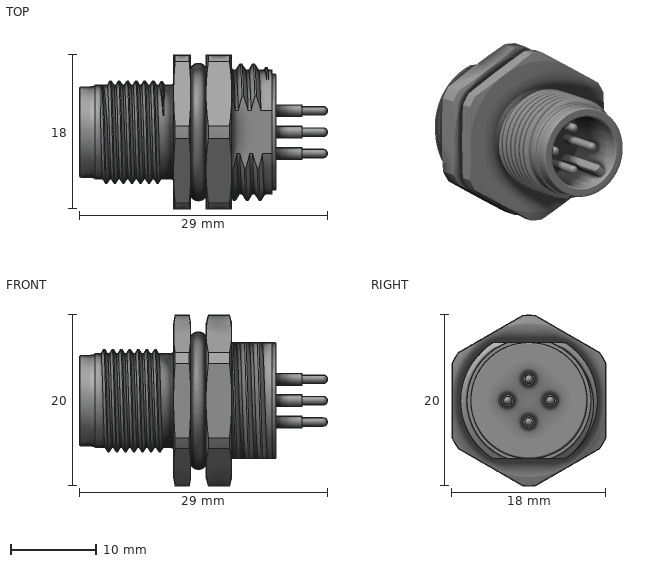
import cadquery as cq
import math


SOCKET_FLOOR_X = 8.5
FLANGE_X = 11.0
FLANGE_LENGTH = 2.0
NUT_X = 14.8
NUT_LENGTH = 3.0
CAP_X = 22.5
CAP_END_X = 23.0
SHOULDER_END_X = 26.0
OVERALL_LENGTH = 29.0
FLANGE_END_X = FLANGE_X + FLANGE_LENGTH

NOSE_RADIUS = 5.3
NOSE_LENGTH = 1.26
NOSE_EDGE_RADIUS = 0.2
NOSE_CONE_END_X = 1.82
NOSE_CONE_END_RADIUS = 5.4
SLEEVE_RADIUS = 5.5
FLANGE_ROOT_RADIUS = 0.3
SOCKET_RADIUS = 4.25
SOCKET_FLOOR_RADIUS = 4.15
SOCKET_MOUTH_CHAMFER = 0.15

HEX_ACROSS_FLATS = 18.0
HEX_CORNER_RADIUS = 10.0
HEX_HALF_SECTOR = 30.0
FLANGE_CHAMFER_ANGLE = 10.0
NUT_CHAMFER_ANGLE = 15.0

SEAL_TUBE_RADIUS = 1.0
SEAL_OUTER_RADIUS = 8.05

REAR_ROOT_RADIUS = 7.25
REAR_FLAT_HEIGHT = 6.8
CAP_RADIUS = REAR_FLAT_HEIGHT
CAP_EDGE_RADIUS = 0.2

FRONT_CREST_RADIUS = 6.0
FRONT_PITCH = 1.0
FRONT_X_AT_ZERO = 9.62
FRONT_TURNS = 7
FRONT_END_ANGLE = 77.0
REAR_CREST_RADIUS = 8.0
REAR_PITCH = 1.5
REAR_X_AT_ZERO = 21.86
REAR_TURNS = 4
REAR_END_ANGLE = 37.0
RUNOUT_ANGLE = 90.0
CREST_WIDTH_PER_PITCH = 1 / 8
BASE_WIDTH_PER_PITCH = 0.77
THREAD_OVERLAP = 0.1
POINTS_PER_TURN = 24

PIN_RADIUS = 0.5
PIN_CIRCLE_RADIUS = 2.5
PIN_COUNT = 4
PIN_TIP_X = 2.0
PIN_SHOULDER_RADIUS = 0.7

KEY_ANGLE = 225.0
KEY_WIDTH = 1.05
KEY_INNER_RADIUS = 3.0
KEY_FRONT_X = 0.6
KEY_NOSE_RADIUS = 0.45
KEY_EDGE_RADIUS = 0.25


def cylinder(x_start, x_end, radius, y=0.0, z=0.0):
    """Cylinder along X."""
    return cq.Workplane("YZ", origin=(x_start, y, z)).circle(radius).extrude(x_end - x_start)


def make_sleeve():
    """Front sleeve with a narrower nose, a step behind it and a fillet where it meets the flange."""
    fillet_start_x = FLANGE_X - FLANGE_ROOT_RADIUS
    fillet_top = SLEEVE_RADIUS + FLANGE_ROOT_RADIUS
    fillet_mid = FLANGE_ROOT_RADIUS * math.sqrt(0.5)
    profile = (
        cq.Workplane("XY")
        .moveTo(0, 0)
        .lineTo(0, NOSE_RADIUS - NOSE_EDGE_RADIUS)
        .radiusArc((NOSE_EDGE_RADIUS, NOSE_RADIUS), NOSE_EDGE_RADIUS)
        .lineTo(NOSE_LENGTH, NOSE_RADIUS)
        .lineTo(NOSE_CONE_END_X, NOSE_CONE_END_RADIUS)
        .lineTo(NOSE_CONE_END_X, SLEEVE_RADIUS)
        .lineTo(fillet_start_x, SLEEVE_RADIUS)
        .threePointArc((fillet_start_x + fillet_mid, fillet_top - fillet_mid), (FLANGE_X, fillet_top))
        .lineTo(NUT_X, fillet_top)
        .lineTo(NUT_X, 0)
        .close()
    )
    return profile.revolve(360, (0, 0, 0), (1, 0, 0))


def make_socket():
    """Slightly tapered cavity of the socket with a chamfered mouth."""
    mouth_radius = SOCKET_RADIUS + SOCKET_MOUTH_CHAMFER
    return (
        cq.Workplane("XY")
        .polyline(
            [
                (0, 0),
                (0, mouth_radius),
                (SOCKET_MOUTH_CHAMFER, SOCKET_RADIUS),
                (SOCKET_FLOOR_X, SOCKET_FLOOR_RADIUS),
                (SOCKET_FLOOR_X, 0),
            ]
        )
        .close()
        .revolve(360, (0, 0, 0), (1, 0, 0))
    )


def make_hexagon(x_start, length, chamfer_angle):
    """Hexagon with two flats facing Y, its corners rounded off and coned at both faces."""
    flat_radius = HEX_ACROSS_FLATS / 2
    chamfer = (HEX_CORNER_RADIUS - flat_radius) * math.tan(math.radians(chamfer_angle))
    x_end = x_start + length
    corner_diameter = HEX_ACROSS_FLATS / math.cos(math.radians(HEX_HALF_SECTOR))
    prism = (
        cq.Workplane("YZ", origin=(x_start, 0, 0))
        .transformed(rotate=(0, 0, HEX_HALF_SECTOR))
        .polygon(6, corner_diameter)
        .extrude(length)
    )
    envelope = (
        cq.Workplane("XY")
        .polyline(
            [
                (x_start, 0),
                (x_start, flat_radius),
                (x_start + chamfer, HEX_CORNER_RADIUS),
                (x_end - chamfer, HEX_CORNER_RADIUS),
                (x_end, flat_radius),
                (x_end, 0),
            ]
        )
        .close()
        .revolve(360, (0, 0, 0), (1, 0, 0))
    )
    return prism.intersect(envelope)


def make_seal():
    """Ring whose sides are flattened by the flange and the nut."""
    centre_x = (FLANGE_END_X + NUT_X) / 2
    centre_radius = SEAL_OUTER_RADIUS - SEAL_TUBE_RADIUS
    ring = (
        cq.Workplane("XY")
        .center(centre_x, centre_radius)
        .circle(SEAL_TUBE_RADIUS)
        .revolve(360, (-centre_x, -centre_radius, 0), (1 - centre_x, -centre_radius, 0))
    )
    core = cylinder(FLANGE_END_X, NUT_X, centre_radius)
    gap = cylinder(FLANGE_END_X, NUT_X, HEX_CORNER_RADIUS)
    return ring.intersect(gap).union(core)


def make_thread(root_radius, crest_radius, pitch, x_at_zero, turns, end_angle):
    """Right-handed ridge along X that rises out of its root cylinder and sinks back into it."""
    height = crest_radius - root_radius
    sunk_depth = height + THREAD_OVERLAP / 2
    half_crest = pitch * CREST_WIDTH_PER_PITCH / 2
    half_base = pitch * BASE_WIDTH_PER_PITCH / 2
    depth = height + THREAD_OVERLAP
    half_foot = half_crest + (half_base - half_crest) * depth / height
    section = [(-half_crest, 0), (half_crest, 0), (half_foot, -depth), (-half_foot, -depth)]

    end = end_angle / 360
    runout = RUNOUT_ANGLE / 360
    start = end - runout - turns
    stages = [(start, start + runout), (start + runout, end - runout), (end - runout, end)]

    def corner_point(corner, turn):
        """Place a corner of the section at a number of turns from the +Y direction."""
        offset_x, offset_radius = corner
        nearest_end = min(turn - start, end - turn)
        sink = sunk_depth * max(0.0, 1 - nearest_end / runout)
        radius = crest_radius + offset_radius - sink
        angle = 2 * math.pi * turn
        x = x_at_zero + pitch * turn + offset_x
        return cq.Vector(x, radius * math.cos(angle), radius * math.sin(angle))

    def corner_curve(corner, first_turn, last_turn):
        steps = math.ceil((last_turn - first_turn) * POINTS_PER_TURN)
        turn_step = (last_turn - first_turn) / steps
        points = [corner_point(corner, first_turn + index * turn_step) for index in range(steps + 1)]
        return cq.Edge.makeSpline(points)

    faces = []
    for first_turn, last_turn in stages:
        curves = [corner_curve(corner, first_turn, last_turn) for corner in section]
        for index, curve in enumerate(curves):
            faces.append(cq.Face.makeRuledSurface(curves[index - 1], curve))
    for turn in (start, end):
        outline = [corner_point(corner, turn) for corner in section]
        faces.append(cq.Face.makeFromWires(cq.Wire.makePolygon(outline, close=True)))
    return cq.Workplane("XY").add(cq.Solid.makeSolid(cq.Shell.makeShell(faces)))


def make_rear_body():
    """Threaded rear barrel with flats on top and bottom, and a smaller end cap."""
    barrel = cylinder(NUT_X, CAP_X, REAR_ROOT_RADIUS)
    thread = make_thread(
        REAR_ROOT_RADIUS, REAR_CREST_RADIUS, REAR_PITCH, REAR_X_AT_ZERO, REAR_TURNS, REAR_END_ANGLE
    )
    slab_width = 2 * REAR_CREST_RADIUS + REAR_PITCH
    slab = cq.Workplane("XY").box(
        CAP_X - NUT_X, slab_width, 2 * REAR_FLAT_HEIGHT, centered=(False, True, True)
    )
    slab = slab.translate((NUT_X, 0, 0))
    cap = cylinder(CAP_X, CAP_END_X, CAP_RADIUS).faces(">X").edges().fillet(CAP_EDGE_RADIUS)
    return barrel.union(thread).intersect(slab).union(cap)


def make_pin(y, z):
    """Contact with round tips at both ends and a thicker shoulder behind the cap."""
    pin = cylinder(PIN_TIP_X + PIN_RADIUS, OVERALL_LENGTH - PIN_RADIUS, PIN_RADIUS, y, z)
    for x in (PIN_TIP_X + PIN_RADIUS, OVERALL_LENGTH - PIN_RADIUS):
        pin = pin.union(cq.Workplane("XY").sphere(PIN_RADIUS).translate((x, y, z)))
    return pin.union(cylinder(CAP_X, SHOULDER_END_X, PIN_SHOULDER_RADIUS, y, z))


def make_key():
    """Rib on the socket wall with a rounded nose and a softened inner face."""
    wall_radius = (SOCKET_RADIUS + SLEEVE_RADIUS) / 2
    rib = (
        cq.Workplane("XY")
        .box(
            FLANGE_X - KEY_FRONT_X,
            wall_radius - KEY_INNER_RADIUS,
            KEY_WIDTH,
            centered=(False, False, True),
        )
        .edges("<X and |Y")
        .fillet(KEY_NOSE_RADIUS)
        .faces("<Y")
        .edges("not >X")
        .fillet(KEY_EDGE_RADIUS)
    )
    rib = rib.translate((KEY_FRONT_X, KEY_INNER_RADIUS, 0))
    return rib.rotate((0, 0, 0), (1, 0, 0), KEY_ANGLE)


def make_part():
    """Join the shell, seal, rear body, key and contacts into one solid."""
    front_thread = make_thread(
        SLEEVE_RADIUS, FRONT_CREST_RADIUS, FRONT_PITCH, FRONT_X_AT_ZERO, FRONT_TURNS, FRONT_END_ANGLE
    )
    part = make_sleeve().union(front_thread).cut(make_socket())
    part = part.union(make_hexagon(FLANGE_X, FLANGE_LENGTH, FLANGE_CHAMFER_ANGLE))
    part = part.union(make_seal())
    part = part.union(make_rear_body())
    part = part.union(make_hexagon(NUT_X, NUT_LENGTH, NUT_CHAMFER_ANGLE))
    part = part.union(make_key())
    for index in range(PIN_COUNT):
        angle = 2 * math.pi * index / PIN_COUNT
        pin_y = PIN_CIRCLE_RADIUS * math.cos(angle)
        pin_z = PIN_CIRCLE_RADIUS * math.sin(angle)
        part = part.union(make_pin(pin_y, pin_z))
    return part


result = make_part()